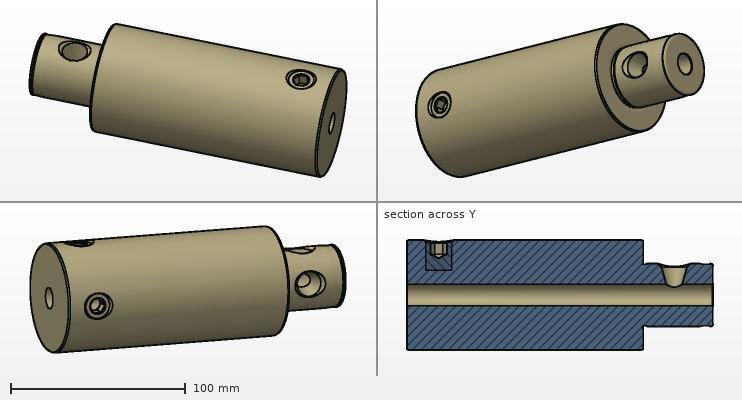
import cadquery as cq
import math

length = 175.0
body_diameter = 63.0
shoulder_x = 39.9
body_chamfer_length = 1.0
body_chamfer_depth = 0.5
bore_diameter = 12.0
bore_chamfer = 0.4

spigot_diameter = 36.0
pilot_diameter = 35.4
nose_radius = 1.4
pilot_taper_end = 7.9
nose_step_length = 0.7

relief_start = 37.5
relief_taper_length = 1.0
relief_outer_diameter = 39.9
relief_depth = 0.4

lock_hole_x = 22.2
lock_mouth_diameter = 18.7
lock_throat_diameter = 14.5
lock_tip_diameter = 8.0
lock_tip_height = 4.5

screw_x = 156.8
screw_diameter = 14.5
seat_mouth_diameter = 17.2
screw_recess = 1.2
screw_length = 16.0
hex_across_flats = 8.0
hex_rim_diameter = 9.6
hex_depth = 7.0
hex_tip_angle = 120.0

body_radius = body_diameter / 2
spigot_radius = spigot_diameter / 2
pilot_radius = pilot_diameter / 2
screw_top = body_radius - screw_recess

side_angles = (0, -90)


def turn_about_x(shape, angle):
    return shape.rotate((0, 0, 0), (1, 0, 0), angle)


def upright_cone(x, low_z, low_diameter, high_z, high_diameter):
    """Cone or frustum standing along Z at the given X."""
    cone = cq.Solid.makeCone(low_diameter / 2, high_diameter / 2, high_z - low_z, cq.Vector(x, 0, low_z))
    return cq.Workplane(cone)


def screw_cylinder(top_z):
    """Upright cylinder from the screw's inner end to the given height."""
    bottom_z = screw_top - screw_length
    return cq.Workplane("XY", origin=(screw_x, 0, bottom_z)).circle(screw_diameter / 2).extrude(top_z - bottom_z)


def make_turned_blank():
    arc_offset = nose_radius * math.sqrt(0.5)
    arc_middle = (nose_radius - arc_offset, spigot_radius - nose_radius + arc_offset)
    return (
        cq.Workplane("XY")
        .lineTo(0, spigot_radius - nose_radius)
        .threePointArc(arc_middle, (nose_radius, spigot_radius))
        .lineTo(nose_radius + nose_step_length, pilot_radius)
        .lineTo(pilot_taper_end, spigot_radius)
        .lineTo(relief_start, spigot_radius)
        .lineTo(relief_start + relief_taper_length, pilot_radius)
        .lineTo(shoulder_x + relief_depth, pilot_radius)
        .lineTo(shoulder_x, relief_outer_diameter / 2)
        .lineTo(shoulder_x, body_radius - body_chamfer_depth)
        .lineTo(shoulder_x + body_chamfer_length, body_radius)
        .lineTo(length - body_chamfer_length, body_radius)
        .lineTo(length, body_radius - body_chamfer_depth)
        .lineTo(length, 0)
        .close()
        .revolve(360, (0, 0), (1, 0))
    )


def make_bore():
    bore = cq.Workplane("YZ").circle(bore_diameter / 2).extrude(length)
    mouth = cq.Solid.makeCone(bore_diameter / 2 + bore_chamfer, bore_diameter / 2, bore_chamfer,
                              cq.Vector(0, 0, 0), cq.Vector(1, 0, 0))
    return bore.union(cq.Workplane(mouth))


def make_lock_hole():
    """Slender cone into the bore, opening through a 90 degree countersink."""
    throat_z = spigot_radius - (lock_mouth_diameter - lock_throat_diameter) / 2
    taper = upright_cone(lock_hole_x, lock_tip_height, lock_tip_diameter, throat_z, lock_throat_diameter)
    mouth = upright_cone(lock_hole_x, throat_z, lock_throat_diameter, spigot_radius, lock_mouth_diameter)
    return taper.union(mouth)


def make_screw_seat():
    """Blind hole as deep as the screw, with a 90 degree countersink."""
    throat_z = body_radius - (seat_mouth_diameter - screw_diameter) / 2
    seat = screw_cylinder(throat_z)
    mouth = upright_cone(screw_x, throat_z, screw_diameter, body_radius, seat_mouth_diameter)
    return seat.union(mouth)


def make_housing():
    body = make_turned_blank().cut(make_bore())
    for angle in side_angles:
        body = body.cut(turn_about_x(make_lock_hole(), angle))
        body = body.cut(turn_about_x(make_screw_seat(), angle))
    return body


def make_set_screw():
    """Headless screw with a hexagon socket that has a countersunk rim and ends in a drill point."""
    hex_across_corners = hex_across_flats / math.cos(math.radians(30))
    tip_depth = hex_across_flats / 2 / math.tan(math.radians(hex_tip_angle / 2))
    socket_floor = screw_top - hex_depth
    shank = screw_cylinder(screw_top)
    socket = (
        cq.Workplane("XY", origin=(screw_x, 0, socket_floor))
        .polygon(6, hex_across_corners)
        .extrude(hex_depth)
    )
    drill_point = upright_cone(screw_x, socket_floor - tip_depth, 0, socket_floor, hex_across_flats)
    rim_depth = (hex_rim_diameter - hex_across_flats) / 2
    rim = upright_cone(screw_x, screw_top - rim_depth, hex_across_flats, screw_top, hex_rim_diameter)
    return shank.cut(socket).cut(rim).cut(drill_point)


housing = make_housing()
set_screws = [turn_about_x(make_set_screw(), angle) for angle in side_angles]

result = cq.Compound.makeCompound([housing.val(), *[screw.val() for screw in set_screws]])